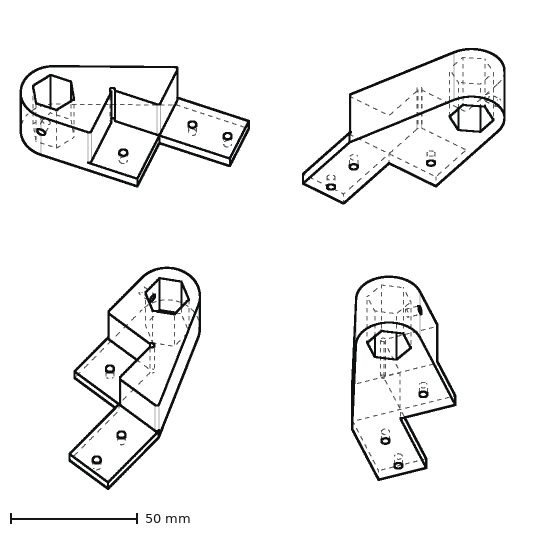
import cadquery as cq
import math

length = 84.0
depth = 43.0
height = 25.0
plate_thickness = 5.0

boss_radius = 13.0
hex_across_flats = 15.1
pin_hole_diameter = 3.4
pin_hole_z = 15.0

tab_left = 34.0
shoulder_x = 54.0
arm_front = 23.0
slope_end_x = 53.25

corner_radius = 1.0
relief_radius = 1.0

screw_diameter = 3.2
screw_positions = [(44.0, 9.8), (64.0, 32.9), (79.05, 32.9)]

run = slope_end_x - boss_radius
rise = depth - boss_radius
slope_angle = math.atan2(rise, run) - math.asin(boss_radius / math.hypot(run, rise))
tangent_point = (
    boss_radius - boss_radius * math.sin(slope_angle),
    boss_radius + boss_radius * math.cos(slope_angle),
)
shoulder_peak_y = depth + (shoulder_x - slope_end_x) * math.tan(slope_angle)


def close_around_boss(outline):
    """Finish an outline along the sloping side and around the boss."""
    return (
        outline.lineTo(*tangent_point)
        .threePointArc((0, boss_radius), (boss_radius, 0))
        .close()
    )


def make_base():
    outline = (
        cq.Workplane("XY")
        .moveTo(boss_radius, 0)
        .lineTo(shoulder_x, 0)
        .lineTo(shoulder_x, arm_front)
        .lineTo(length, arm_front)
        .lineTo(length, depth)
        .lineTo(slope_end_x, depth)
    )
    return close_around_boss(outline).extrude(plate_thickness)


def vertical_edge_at(x, y):
    """Selector for the upright edge through a plan position."""
    margin = 0.1
    return cq.selectors.BoxSelector(
        (x - margin, y - margin, 0), (x + margin, y + margin, height)
    )


def make_block():
    outline = (
        cq.Workplane("XY")
        .moveTo(boss_radius, 0)
        .lineTo(tab_left, 0)
        .lineTo(tab_left, arm_front)
        .lineTo(shoulder_x, arm_front)
        .lineTo(shoulder_x, shoulder_peak_y)
    )
    block = close_around_boss(outline).extrude(height - plate_thickness)
    for x, y in [(tab_left, 0), (shoulder_x, arm_front), (shoulder_x, shoulder_peak_y)]:
        block = block.edges(vertical_edge_at(x, y)).fillet(corner_radius)

    relief = (
        cq.Workplane("XY")
        .center(tab_left, arm_front)
        .circle(relief_radius)
        .extrude(height)
    )
    return block.cut(relief).translate((0, 0, plate_thickness))


def make_hex_bore():
    across_corners = hex_across_flats / math.cos(math.radians(30))
    return (
        cq.Workplane("XY")
        .center(boss_radius, boss_radius)
        .polygon(6, across_corners)
        .extrude(height)
    )


def make_pin_hole():
    """Cross hole from the front face into the hexagonal bore."""
    return (
        cq.Workplane("XZ")
        .center(boss_radius, pin_hole_z)
        .circle(pin_hole_diameter / 2)
        .extrude(-boss_radius)
    )


def make_screw_holes():
    return (
        cq.Workplane("XY")
        .pushPoints(screw_positions)
        .circle(screw_diameter / 2)
        .extrude(plate_thickness)
    )


result = (
    make_base()
    .union(make_block())
    .cut(make_hex_bore())
    .cut(make_pin_hole())
    .cut(make_screw_holes())
)